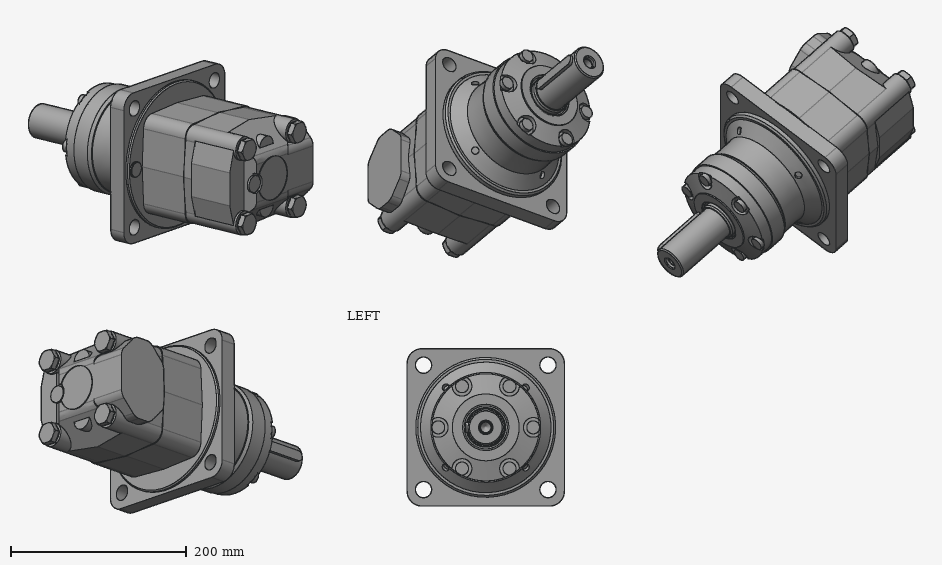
import cadquery as cq
import math


overall_length = 349.6
shaft_shoulder_x = 78.6
cover_front_x = 82.0
cover_cone_start_x = 83.8
cover_cone_end_x = 90.2
ring_x = 104.5
ring_bevel_x = 124.4
housing_x = 128.4
housing_neck_x = 129.1
housing_cone_x = 161.1
pilot_x = 174.6
flange_x = 181.6
flange_back_x = 201.1
gear_set_x = 205.1
end_cover_x = 266.8
column_end_x = 340.8
end_face_x = 346.3
end_pad_x = 347.2

shaft_diameter = 40.0
shaft_end_chamfer = 1.5
collar_diameter = 45.0
collar_bevel = 2.2
center_hole_diameter = 11.84
center_sink_diameter = 16.4
center_bore_diameter = 14.0
center_bore_depth = 4.5
center_hole_depth = 28.0
key_width = 12.0
key_length = 70.0
key_start_x = 4.6
key_top_y = 23.0
key_seat_y = 15.0

cover_diameter = 121.8
cover_nose_diameter = 76.0
seal_recess_diameter = 52.6
seal_step_diameter = 49.0
seal_recess_depth = 1.5
seal_step_depth = 3.0
screw_count = 6
screw_circle_radius = 54.0
screw_head_diameter = 14.8
screw_head_x = 86.7
screw_seat_x = 92.1
screw_seat_diameter = 22.4

ring_diameter = 125.0
ring_bevel_diameter = 120.0
neck_diameter = 118.4
barrel_diameter = 119.4
barrel_waist_diameter = 118.4
housing_cone_diameter = 148.4
pilot_diameter = 159.0
pilot_bevel = 2.2
flange_side = 179.01
flange_corner_radius = 17.0
flange_hole_circle_radius = 100.0
flange_hole_diameter = 18.2
back_disc_diameter = 172.0
back_disc_chamfer = 1.6
cone_hole_diameter = 8.38
cone_hole_depth = 4.0
cone_hole_radius_position = 64.8
plug_diameter = 18.2
plug_height = 2.5
plug_chamfer = 0.6
plug_radius_position = 74.6

bolt_offset = 44.2
gear_ridge = 61.7
gear_shoulder = 44.6
gear_column_radius = 15.1
cover_ridge = 62.6
cover_shoulder = 42.8
column_radius = 14.0
slope_sum = 374.3
end_edge_radius = 13.0
rear_boss_diameter = 24.12
rear_boss_z = 35.8
side_block_x = 280.8
side_block_end_x = 337.7
side_block_face_y = 65.0
side_block_flat = 19.6
side_block_half_height = 44.7
side_block_edge_y = 58.2
side_block_root_y = 40.0
port_block_face_y = 72.3
port_block_half_length = 34.1
port_block_half_height = 49.0
port_block_chamfer = 22.4
port_block_root_y = 25.0
end_pad_diameter = 51.4
end_pocket_diameter = 24.12
end_pocket_floor_x = 343.5
end_pocket_y = -31.0
end_plug_diameter = 20.0

hex_across_flats = 23.0
hex_chamfer_drop = 1.3
washer_face_diameter = 22.0
washer_face_height = 1.1


def rod(start_x, end_x, diameter, y=0.0, z=0.0):
    """Cylinder along X, centred on the line through (y, z)."""
    plane = cq.Workplane("YZ", origin=(start_x, y, z))
    return plane.circle(diameter / 2).extrude(end_x - start_x)


def turned(points):
    """Solid of revolution about X from (x, radius) points."""
    return cq.Workplane("XY").polyline(points).close().revolve(360, (0, 0, 0), (1, 0, 0))


def corners(offset):
    """The four (y, z) points at +-offset."""
    return [(offset, offset), (-offset, offset), (-offset, -offset), (offset, -offset)]


def roofed_block(start_x, end_x, ridge, shoulder, column_radius):
    """Block with four gently roofed sides, each ending on the round column at a corner."""
    eave = bolt_offset + math.sqrt(column_radius**2 - (bolt_offset - shoulder) ** 2)
    outline = []
    for quarter in range(4):
        c = round(math.cos(quarter * math.pi / 2))
        s = round(math.sin(quarter * math.pi / 2))
        for y, z in [(eave, -shoulder), (ridge, 0), (eave, shoulder)]:
            outline.append((y * c - z * s, y * s + z * c))
    plane = cq.Workplane("YZ", origin=(start_x, 0, 0))
    return plane.polyline(outline).close().extrude(end_x - start_x)


def add_columns(block, start_x, end_x, column_radius):
    """Round the four corners of a block with columns along the bolt axes."""
    for y, z in corners(bolt_offset):
        block = block.union(rod(start_x, end_x, 2 * column_radius, y, z))
    return block


def make_key():
    center = (key_start_x + key_length / 2, 0)
    plane = cq.Workplane("XZ", origin=(0, key_seat_y, 0)).center(*center)
    return plane.slot2D(key_length, key_width).extrude(key_seat_y - key_top_y)


def make_shaft(key):
    r = shaft_diameter / 2
    collar_r = collar_diameter / 2
    shaft = turned([
        (0, 0),
        (0, r - shaft_end_chamfer),
        (shaft_end_chamfer, r),
        (shaft_shoulder_x, r),
        (shaft_shoulder_x, collar_r - collar_bevel / 2),
        (shaft_shoulder_x + collar_bevel, collar_r),
        (ring_x, collar_r),
        (ring_x, 0),
    ])
    hole_r = center_hole_diameter / 2
    bore_r = center_bore_diameter / 2
    sink_r = center_sink_diameter / 2
    center_hole = turned([
        (0, 0),
        (0, sink_r),
        (sink_r - bore_r, bore_r),
        (center_bore_depth, bore_r),
        (center_bore_depth, hole_r),
        (center_hole_depth, hole_r),
        (center_hole_depth + hole_r, 0),
    ])
    return shaft.cut(center_hole).cut(key)


def make_front_cover():
    cover = turned([
        (cover_front_x, 0),
        (cover_front_x, cover_nose_diameter / 2),
        (cover_cone_start_x, cover_nose_diameter / 2),
        (cover_cone_end_x, cover_diameter / 2),
        (ring_x, cover_diameter / 2),
        (ring_x, 0),
    ])
    cover = cover.cut(rod(cover_front_x, cover_front_x + seal_recess_depth, seal_recess_diameter))
    cover = cover.cut(rod(cover_front_x, cover_front_x + seal_step_depth, seal_step_diameter))
    cover = cover.cut(rod(cover_front_x, ring_x, collar_diameter))
    for i in range(screw_count):
        angle = 2 * math.pi * i / screw_count
        y = screw_circle_radius * math.cos(angle)
        z = screw_circle_radius * math.sin(angle)
        cover = cover.cut(rod(cover_front_x, screw_seat_x, screw_seat_diameter, y, z))
        cover = cover.union(rod(screw_head_x, screw_seat_x, screw_head_diameter, y, z))
    return cover


def make_ring():
    return turned([
        (ring_x, 0),
        (ring_x, ring_diameter / 2),
        (ring_bevel_x, ring_diameter / 2),
        (housing_x, ring_bevel_diameter / 2),
        (housing_x, 0),
    ])


def cone_hole_cutter():
    """Blind drill square to the housing cone, placed in the XY plane on the +Y side."""
    run = pilot_x - housing_cone_x
    rise = (housing_cone_diameter - barrel_diameter) / 2
    rise_to_hole = cone_hole_radius_position - barrel_diameter / 2
    entry = cq.Vector(housing_cone_x + run * rise_to_hole / rise, cone_hole_radius_position, 0)
    inward = cq.Vector(rise, -run, 0).normalized()
    start = entry - inward * cone_hole_depth
    drill = cq.Solid.makeCylinder(cone_hole_diameter / 2, 2 * cone_hole_depth, start, inward)
    return cq.Workplane("XY").newObject([drill])


def make_housing():
    barrel_r = barrel_diameter / 2
    waist = ((housing_neck_x + housing_cone_x) / 2, barrel_waist_diameter / 2)
    pilot_r = pilot_diameter / 2
    disc_r = back_disc_diameter / 2
    body = (
        cq.Workplane("XY")
        .moveTo(housing_x, 0)
        .lineTo(housing_x, neck_diameter / 2)
        .lineTo(housing_neck_x, neck_diameter / 2)
        .lineTo(housing_neck_x, barrel_r)
        .threePointArc(waist, (housing_cone_x, barrel_r))
        .lineTo(pilot_x, housing_cone_diameter / 2)
        .lineTo(pilot_x, pilot_r - pilot_bevel)
        .lineTo(pilot_x + pilot_bevel, pilot_r)
        .lineTo(flange_back_x, pilot_r)
        .lineTo(flange_back_x, disc_r)
        .lineTo(gear_set_x - back_disc_chamfer, disc_r)
        .lineTo(gear_set_x, disc_r - back_disc_chamfer)
        .lineTo(gear_set_x, 0)
        .close()
        .revolve(360, (0, 0, 0), (1, 0, 0))
    )
    flange = (
        cq.Workplane("YZ", origin=(flange_x, 0, 0))
        .rect(flange_side, flange_side)
        .extrude(flange_back_x - flange_x)
        .edges("|X")
        .fillet(flange_corner_radius)
    )
    housing = body.union(flange)
    for y, z in corners(flange_hole_circle_radius / math.sqrt(2)):
        housing = housing.cut(rod(flange_x, gear_set_x, flange_hole_diameter, y, z))
    for quarter in range(4):
        cutter = cone_hole_cutter().rotate((0, 0, 0), (1, 0, 0), 45 + 90 * quarter)
        housing = housing.cut(cutter)
    return housing


def make_drain_plug():
    head = rod(gear_set_x, gear_set_x + plug_height, plug_diameter, -plug_radius_position)
    return head.faces(">X").chamfer(plug_chamfer)


def make_gear_set():
    block = roofed_block(gear_set_x, end_cover_x, gear_ridge, gear_shoulder, gear_column_radius)
    return add_columns(block, gear_set_x, end_cover_x, gear_column_radius)


def tapered_core_envelope():
    """Pyramid-ended block that gives the end cover its four 45 degree rear slopes."""
    slope_start_x = slope_sum - cover_ridge
    end_half = slope_sum - end_face_x
    straight = (
        cq.Workplane("YZ", origin=(end_cover_x, 0, 0))
        .rect(2 * cover_ridge, 2 * cover_ridge)
        .extrude(slope_start_x - end_cover_x)
    )
    taper = (
        cq.Workplane("YZ", origin=(slope_start_x, 0, 0))
        .rect(2 * cover_ridge, 2 * cover_ridge)
        .workplane(offset=end_face_x - slope_start_x)
        .rect(2 * end_half, 2 * end_half)
        .loft(ruled=True)
        .faces(">X")
        .edges("|Y")
        .fillet(end_edge_radius)
    )
    return straight.union(taper)


def make_side_block():
    """Block with three facets on the -Y side."""
    outline = [
        (-side_block_root_y, -side_block_half_height),
        (-side_block_edge_y, -side_block_half_height),
        (-side_block_face_y, -side_block_flat),
        (-side_block_face_y, side_block_flat),
        (-side_block_edge_y, side_block_half_height),
        (-side_block_root_y, side_block_half_height),
    ]
    plane = cq.Workplane("YZ", origin=(side_block_x, 0, 0))
    return plane.polyline(outline).close().extrude(side_block_end_x - side_block_x)


def make_port_block():
    """Octagonal port block with rounded edges on the +Y side."""
    center = (end_face_x - port_block_half_length, 0)
    plane = cq.Workplane("XZ", origin=(0, port_block_root_y, 0)).center(*center)
    block = plane.rect(2 * port_block_half_length, 2 * port_block_half_height)
    block = block.extrude(port_block_root_y - port_block_face_y)
    block = block.edges("|Y").chamfer(port_block_chamfer)
    return block.edges("|Y").fillet(end_edge_radius)


def make_bolt_head(y, z):
    """Hexagon head with a vertex on each Y side and its outer corners turned down."""
    across_corners = 2 * hex_across_flats / math.sqrt(3)
    head_x = column_end_x + washer_face_height
    head = (
        cq.Workplane("YZ", origin=(head_x, y, z))
        .polygon(6, across_corners)
        .extrude(overall_length - head_x)
    )
    turned_blank = rod(head_x, overall_length, across_corners, y, z)
    turned_blank = turned_blank.faces(">X").chamfer(hex_chamfer_drop)
    washer_face = rod(column_end_x, head_x, washer_face_diameter, y, z)
    return head.intersect(turned_blank).union(washer_face)


def make_end_cover():
    block = roofed_block(end_cover_x, end_face_x, cover_ridge, cover_shoulder, column_radius)
    cover = block.intersect(tapered_core_envelope())
    cover = add_columns(cover, end_cover_x, column_end_x, column_radius)
    cover = cover.union(make_side_block()).union(make_port_block())
    for z in (rear_boss_z, -rear_boss_z):
        cover = cover.union(rod(end_cover_x, side_block_end_x, rear_boss_diameter, 0, z))
    cover = cover.union(rod(column_end_x, end_pad_x, end_pad_diameter))
    cover = cover.cut(rod(end_pocket_floor_x, end_pad_x, end_pocket_diameter, end_pocket_y))
    cover = cover.union(rod(end_pocket_floor_x, end_face_x, end_plug_diameter, end_pocket_y))
    for y, z in corners(bolt_offset):
        cover = cover.union(make_bolt_head(y, z))
    return cover


key = make_key()
shaft = make_shaft(key)
front_cover = make_front_cover()
ring = make_ring()
housing = make_housing()
drain_plug = make_drain_plug()
gear_set = make_gear_set()
end_cover = make_end_cover()

result = cq.Compound.makeCompound([
    shaft.val(),
    key.val(),
    front_cover.val(),
    ring.val(),
    housing.val(),
    drain_plug.val(),
    gear_set.val(),
    end_cover.val(),
])